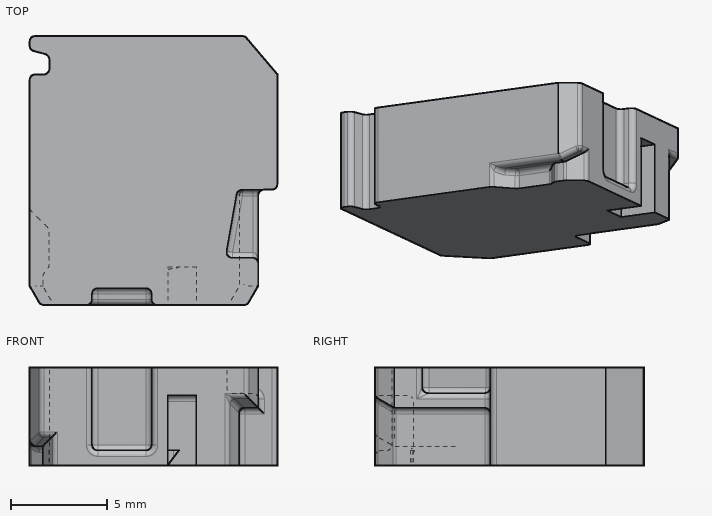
import cadquery as cq
import math

LENGTH_X = 12.9
LENGTH_Y = 14.0
HEIGHT = 5.1
ROUND = 0.3
CORNER_ROUND = 0.999 * ROUND
MARGIN = 1.0

STEP_X = 11.9
STEP_Y = 6.0
BEVEL_SLOPE = math.tan(math.radians(30))
BEVEL_Y = 1.0
BEVEL_X = BEVEL_Y * BEVEL_SLOPE
REAR_BEVEL_X = 1.7
REAR_BEVEL_Y = 2.0

NOTCH_DEPTH = 1.03
NOTCH_FRONT_Y = 12.0
NOTCH_LIP_Y = 13.27
NOTCH_LIP_ANGLE = 15
NOTCH_LIP_DROP = NOTCH_DEPTH * math.tan(math.radians(NOTCH_LIP_ANGLE))

LEFT_LEDGE_Z = 1.0
LEFT_SETBACK = 0.68
LEFT_RECESS_DEPTH = 1.0
LEFT_RAMP_Y = 1.58
LEFT_RECESS_Y = 2.0
LEFT_END_Y = 4.98

RIGHT_LEDGE_Z = 3.0
RIGHT_SETBACK = 1.0

SIDE_POCKET_FLOOR_Z = 3.77
SIDE_POCKET_FRONT_Y = 2.46
SIDE_POCKET_FRONT_X = 10.19
SIDE_POCKET_ANGLE = 10
SIDE_POCKET_LENGTH = STEP_Y - SIDE_POCKET_FRONT_Y
SIDE_POCKET_REAR_X = SIDE_POCKET_FRONT_X + SIDE_POCKET_LENGTH * math.tan(math.radians(SIDE_POCKET_ANGLE))

FRONT_POCKET_X = 3.25
FRONT_POCKET_WIDTH = 3.1
FRONT_POCKET_FLOOR_Z = 0.79
FRONT_POCKET_DEPTH = 0.88

SLOT_X = 7.18
SLOT_WIDTH = 1.5
SLOT_HEIGHT = 3.65
SLOT_DEPTH = 2.0

SWELL_WIDTH = 0.6
SWELL_HEIGHT = 0.8
SWELL_RISE = 0.16
SWELL_ROUND = (SWELL_WIDTH**2 / SWELL_RISE + SWELL_RISE) / 4


def middle(a, b):
    return (a + b) / 2


def round_edges(solid, midpoints):
    """Round the edges whose midpoints lie nearest to the given points."""
    edges = [solid.edges(cq.NearestToPointSelector(point)).val() for point in midpoints]
    return cq.Workplane(obj=solid.newObject(edges).fillet(ROUND).val())


def prism(points, bottom, top):
    """Upright prism with a polygonal base."""
    return cq.Workplane("XY", origin=(0, 0, bottom)).polyline(points).close().extrude(top - bottom)


def block():
    """Full-height body with the latch notch."""
    outline = [
        (BEVEL_X, 0),
        (STEP_X, 0),
        (STEP_X, STEP_Y),
        (LENGTH_X, STEP_Y),
        (LENGTH_X, LENGTH_Y - REAR_BEVEL_Y),
        (LENGTH_X - REAR_BEVEL_X, LENGTH_Y),
        (0, LENGTH_Y),
        (0, NOTCH_LIP_Y),
        (NOTCH_DEPTH, NOTCH_LIP_Y - NOTCH_LIP_DROP),
        (NOTCH_DEPTH, NOTCH_FRONT_Y),
        (0, NOTCH_FRONT_Y),
        (0, BEVEL_Y),
    ]
    sharp_corners = [
        (STEP_X, 0),
        (STEP_X, STEP_Y),
        (LENGTH_X, LENGTH_Y - REAR_BEVEL_Y),
        (0, BEVEL_Y),
    ]
    rounded = [corner for corner in outline if corner not in sharp_corners]
    return round_edges(prism(outline, 0, HEIGHT), [(x, y, HEIGHT / 2) for x, y in rounded])


def side_pocket(solid):
    """Tapered pocket in the right side, open to the top."""
    mouth_x = LENGTH_X + MARGIN
    region = [
        (mouth_x, SIDE_POCKET_FRONT_Y),
        (SIDE_POCKET_FRONT_X, SIDE_POCKET_FRONT_Y),
        (SIDE_POCKET_REAR_X, STEP_Y),
        (mouth_x, STEP_Y),
    ]
    middle_y = middle(SIDE_POCKET_FRONT_Y, STEP_Y)
    middle_z = middle(SIDE_POCKET_FLOOR_Z, HEIGHT)
    cutter = round_edges(prism(region, SIDE_POCKET_FLOOR_Z, HEIGHT + MARGIN), [
        (SIDE_POCKET_FRONT_X, SIDE_POCKET_FRONT_Y, middle_z),
        (SIDE_POCKET_REAR_X, STEP_Y, middle_z),
    ])
    mouth_edges = [
        (STEP_X, SIDE_POCKET_FRONT_Y, middle_z),
        (STEP_X, middle_y, SIDE_POCKET_FLOOR_Z),
    ]
    floor_edges = [
        (middle(SIDE_POCKET_FRONT_X, STEP_X), SIDE_POCKET_FRONT_Y, SIDE_POCKET_FLOOR_Z),
        (middle(SIDE_POCKET_REAR_X, STEP_X), STEP_Y, SIDE_POCKET_FLOOR_Z),
        (STEP_X, STEP_Y, SIDE_POCKET_FLOOR_Z / 2),
    ]
    solid = solid.cut(cutter)
    for edges in (mouth_edges, floor_edges):
        solid = round_edges(solid, edges)
    return solid


def below_ledge(ledge_z):
    """Space below a level ledge that climbs 30 degrees towards the front along the bevel."""
    profile = [
        (-MARGIN, -MARGIN),
        (LENGTH_Y, -MARGIN),
        (LENGTH_Y, ledge_z),
        (BEVEL_Y, ledge_z),
        (-MARGIN, ledge_z + (BEVEL_Y + MARGIN) * BEVEL_SLOPE),
    ]
    space = cq.Workplane("YZ", origin=(-MARGIN, 0, 0)).polyline(profile).close()
    return space.extrude(LENGTH_X + 2 * MARGIN)


def left_undercut(solid):
    wall_x = LEFT_SETBACK
    deep_x = LEFT_RECESS_DEPTH
    toe_x = wall_x + BEVEL_X
    slant_y = LEFT_END_Y - deep_x
    region = [
        (-MARGIN, -MARGIN),
        (toe_x + MARGIN * BEVEL_SLOPE, -MARGIN),
        (wall_x, BEVEL_Y),
        (wall_x, LEFT_RAMP_Y),
        (deep_x, LEFT_RECESS_Y),
        (deep_x, slant_y),
        (-MARGIN, LEFT_END_Y + MARGIN),
    ]
    half_z = LEFT_LEDGE_Z / 2
    outer_edges = [
        (toe_x, 0, half_z),
        (middle(BEVEL_X, toe_x), 0, LEFT_LEDGE_Z + BEVEL_X),
        (BEVEL_X / 2, BEVEL_Y / 2, LEFT_LEDGE_Z + BEVEL_X / 2),
        (0, middle(BEVEL_Y, LEFT_END_Y), LEFT_LEDGE_Z),
        (0, LEFT_END_Y, half_z),
    ]
    recess_edges = [
        (deep_x, LEFT_RECESS_Y, half_z),
        (deep_x, slant_y, half_z),
        (deep_x, middle(LEFT_RECESS_Y, slant_y), LEFT_LEDGE_Z),
        (deep_x / 2, middle(slant_y, LEFT_END_Y), LEFT_LEDGE_Z),
    ]
    wall_edges = [(wall_x, BEVEL_Y, half_z), (wall_x, LEFT_RAMP_Y, half_z)]
    solid = solid.cut(prism(region, -MARGIN, HEIGHT).intersect(below_ledge(LEFT_LEDGE_Z)))
    for edges in (outer_edges, recess_edges, wall_edges):
        solid = round_edges(solid, edges)
    return solid


def right_undercut(solid):
    wall_x = STEP_X - RIGHT_SETBACK
    toe_x = wall_x - BEVEL_X
    region = [
        (LENGTH_X + MARGIN, -MARGIN),
        (toe_x - MARGIN * BEVEL_SLOPE, -MARGIN),
        (wall_x, BEVEL_Y),
        (wall_x, STEP_Y),
        (LENGTH_X + MARGIN, STEP_Y),
    ]
    half_z = RIGHT_LEDGE_Z / 2
    front_edges = [
        (toe_x, 0, half_z),
        (middle(toe_x, STEP_X), 0, RIGHT_LEDGE_Z + BEVEL_X),
    ]
    inner_edges = [
        (wall_x, BEVEL_Y, half_z),
        (wall_x, STEP_Y, half_z),
        (wall_x, middle(BEVEL_Y, STEP_Y), RIGHT_LEDGE_Z),
        (middle(wall_x, toe_x), BEVEL_Y / 2, RIGHT_LEDGE_Z + BEVEL_X / 2),
        (middle(wall_x, STEP_X), STEP_Y, RIGHT_LEDGE_Z),
    ]
    solid = solid.cut(prism(region, -MARGIN, HEIGHT).intersect(below_ledge(RIGHT_LEDGE_Z)))
    for edges in (front_edges, inner_edges):
        solid = round_edges(solid, edges)
    return solid


def right_front_bevel(solid):
    """Bevel the right front corner and round where the bevel meets the front face."""
    corner_x = STEP_X - BEVEL_X
    inner_x = corner_x - MARGIN
    outer_x = STEP_X + MARGIN
    kept = [(inner_x, 0), (corner_x, 0), (STEP_X, BEVEL_Y), (inner_x, BEVEL_Y)]
    around = [(inner_x, -MARGIN), (outer_x, -MARGIN), (outer_x, BEVEL_Y), (inner_x, BEVEL_Y)]
    corner = round_edges(prism(kept, 0, HEIGHT), [(corner_x, 0, HEIGHT / 2)])
    return solid.cut(prism(around, 0, HEIGHT).cut(corner))


def front_pocket(solid):
    """Pocket with rounded bottom corners, floor edge and mouth."""
    depth = FRONT_POCKET_DEPTH + MARGIN
    height = HEIGHT + MARGIN - FRONT_POCKET_FLOOR_Z
    cutter = cq.Workplane("XY").box(FRONT_POCKET_WIDTH, depth, height, centered=False)
    cutter = cutter.translate((FRONT_POCKET_X, -MARGIN, FRONT_POCKET_FLOOR_Z))
    cutter = cutter.edges("|Y and <Z").fillet(ROUND)
    cutter = cutter.faces(">Y").edges("not(>Z)").fillet(CORNER_ROUND)
    return round_edges(solid.cut(cutter), [(FRONT_POCKET_X, 0, HEIGHT / 2)])


def slot(solid):
    """Slot whose roof is rounded into its back wall."""
    cutter = cq.Workplane("XY").box(SLOT_WIDTH, SLOT_DEPTH + MARGIN, SLOT_HEIGHT + MARGIN, centered=False)
    cutter = cutter.translate((SLOT_X, -MARGIN, -MARGIN))
    return solid.cut(cutter.edges(">Y and >Z").fillet(ROUND))


def slot_swelling(solid):
    """S-shaped swelling that fades into the back wall, trimmed to a triangle."""
    end_x = SLOT_X + SWELL_WIDTH
    crest_y = SLOT_DEPTH - SWELL_RISE
    root_y = SLOT_DEPTH + MARGIN
    swelling = (
        cq.Workplane("XY")
        .moveTo(SLOT_X, root_y)
        .lineTo(SLOT_X, crest_y)
        .radiusArc((middle(SLOT_X, end_x), middle(crest_y, SLOT_DEPTH)), SWELL_ROUND)
        .radiusArc((end_x, SLOT_DEPTH), -SWELL_ROUND)
        .lineTo(end_x, root_y)
        .close()
        .extrude(SWELL_HEIGHT)
    )
    triangle = (
        cq.Workplane("XZ")
        .polyline([(SLOT_X, 0), (end_x, SWELL_HEIGHT), (SLOT_X, SWELL_HEIGHT)])
        .close()
        .extrude(-root_y)
    )
    return solid.union(swelling.intersect(triangle))


FEATURES = [
    side_pocket,
    left_undercut,
    right_undercut,
    right_front_bevel,
    front_pocket,
    slot,
    slot_swelling,
]

result = block()
for feature in FEATURES:
    result = feature(result)
result = result.solids()